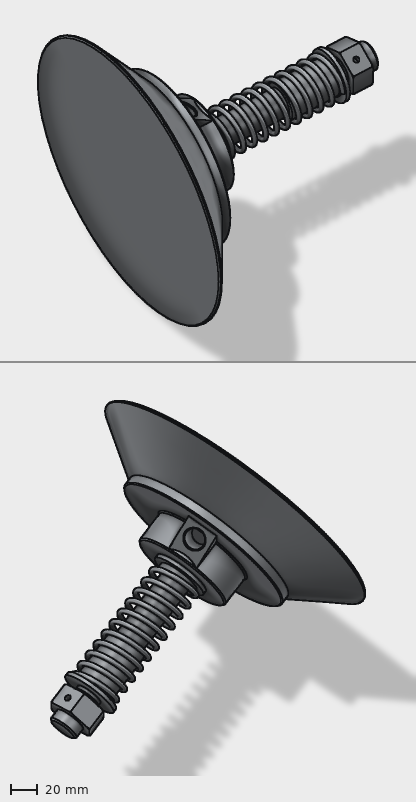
import cadquery as cq
import math


pad_diameter = 240.0
face_bevel = 1.2
lip_thickness = 2.5
flange_diameter = 147.0
flange_start = 34.8
flange_end = 42.7
flange_chamfer = 1.0

boss_diameter = 80.0
boss_end = 69.0
boss_chamfer = 1.2
boss_foot_flare = 1.2
port_block_width = 26.0
port_tilt = 35.0
port_face_drop = 4.0
port_diameter = 16.0
port_mouth_diameter = 18.0
port_depth = 16.8
port_center_y = 53.0

rod_diameter = 24.0
rod_end = 219.0
rod_chamfer = 1.5
neck_diameter = 21.0
neck_end = 188.2
washer_diameter = 45.0
washer_thickness = 3.4
upper_washer_start = 182.0
collar_diameter = 33.0
collar_length = 4.5
upper_collar_length = 2.0
sleeve_diameter = 32.0
sleeve_start = 137.5

nut_flats = 35.5
nut_start = 191.3
nut_end = 209.3
nut_chamfer = 1.0
nut_hole_diameter = 4.8

wire_diameter = 4.0
coil_radius = 18.7
spring_rise = 107.5
spring_turns = 10.75
spring_start = 74.0
spring_start_angle = 90

spring_pitch = spring_rise / spring_turns
lower_washer_end = boss_end + washer_thickness
upper_washer_end = upper_washer_start + washer_thickness


def cylinder(diameter, start, end):
    """Round bar about the Y axis between two Y positions."""
    return cq.Workplane("XZ", origin=(0, start, 0)).circle(diameter / 2).extrude(start - end)


def make_pad():
    pad_radius = pad_diameter / 2
    flange_radius = flange_diameter / 2
    profile = [
        (0, 0),
        (pad_radius - face_bevel, 0),
        (pad_radius, face_bevel),
        (pad_radius, lip_thickness),
        (flange_radius, flange_start),
        (flange_radius, flange_end - flange_chamfer),
        (flange_radius - flange_chamfer, flange_end),
        (0, flange_end),
    ]
    return cq.Workplane("XY").polyline(profile).close().revolve(360, (0, 0), (0, 1))


def make_boss():
    boss = cylinder(boss_diameter, flange_start, boss_end).faces(">Y").chamfer(boss_chamfer)
    foot = (
        cylinder(boss_diameter + 2 * boss_foot_flare, flange_start, flange_end + boss_foot_flare)
        .faces(">Y")
        .chamfer(boss_foot_flare)
    )

    slope = math.tan(math.radians(port_tilt))
    boss_radius = boss_diameter / 2
    face_meets_boss_y = boss_end - port_face_drop

    def face_z(y):
        return boss_radius + (face_meets_boss_y - y) * slope

    top_y = boss_end - boss_chamfer
    wedge = (
        cq.Workplane("YZ", origin=(-port_block_width / 2, 0, 0))
        .polyline([(flange_start, 0), (flange_start, face_z(flange_end)),
                   (flange_end, face_z(flange_end)), (top_y, face_z(top_y)), (top_y, 0)])
        .close()
        .extrude(port_block_width)
    )

    tilt = math.radians(port_tilt)
    port_plane = cq.Plane(
        origin=(0, port_center_y, face_z(port_center_y)),
        xDir=(1, 0, 0),
        normal=(0, math.sin(tilt), math.cos(tilt)),
    )
    port = cq.Workplane(port_plane).circle(port_diameter / 2).extrude(-port_depth)
    mouth_depth = (port_mouth_diameter - port_diameter) / 2
    mouth = (
        cq.Workplane(port_plane)
        .circle(port_mouth_diameter / 2)
        .extrude(-mouth_depth, taper=45)
    )
    return boss.union(foot).union(wedge).cut(port).cut(mouth)


def make_rod():
    rod_tip = cylinder(rod_diameter, neck_end, rod_end).faces("<Y or >Y").chamfer(rod_chamfer)
    return (
        cylinder(rod_diameter, boss_end, upper_washer_start)
        .union(cylinder(washer_diameter, boss_end, lower_washer_end))
        .union(cylinder(collar_diameter, lower_washer_end, lower_washer_end + collar_length))
        .union(cylinder(sleeve_diameter, sleeve_start, upper_washer_start))
        .union(cylinder(collar_diameter, upper_washer_start - upper_collar_length, upper_washer_start))
        .union(cylinder(washer_diameter, upper_washer_start, upper_washer_end))
        .union(cylinder(neck_diameter, upper_washer_end, nut_start))
        .union(rod_tip)
    )


def make_nut():
    corner_diameter = nut_flats / math.cos(math.radians(30))
    nut = (
        cq.Workplane("XZ", origin=(0, nut_start, 0))
        .polygon(6, corner_diameter)
        .extrude(nut_start - nut_end)
        .rotate((0, 0, 0), (0, 1, 0), 30)
    )
    corner_trim = cylinder(corner_diameter, nut_start, nut_end).faces("<Y or >Y").chamfer(nut_chamfer)
    return nut.intersect(corner_trim)


def make_nut_hole():
    """Set-screw hole from the flat facing +X +Z down to the rod surface."""
    depth = (nut_flats - rod_diameter) / 2
    return (
        cq.Workplane("XY", origin=(0, (nut_start + nut_end) / 2, rod_diameter / 2))
        .circle(nut_hole_diameter / 2)
        .extrude(depth)
        .rotate((0, 0, 0), (0, 1, 0), 30)
    )


def make_spring():
    path = cq.Wire.makeHelix(spring_pitch, spring_rise, coil_radius)
    return (
        cq.Workplane("XZ", origin=(coil_radius, 0, 0))
        .circle(wire_diameter / 2)
        .sweep(cq.Workplane(obj=path), isFrenet=True)
        .rotate((0, 0, 0), (0, 0, 1), spring_start_angle)
        .rotate((0, 0, 0), (1, 0, 0), -90)
        .translate((0, spring_start, 0))
    )


result = (
    make_pad()
    .union(make_boss())
    .union(make_rod())
    .union(make_nut())
    .cut(make_nut_hole())
    .union(make_spring())
)